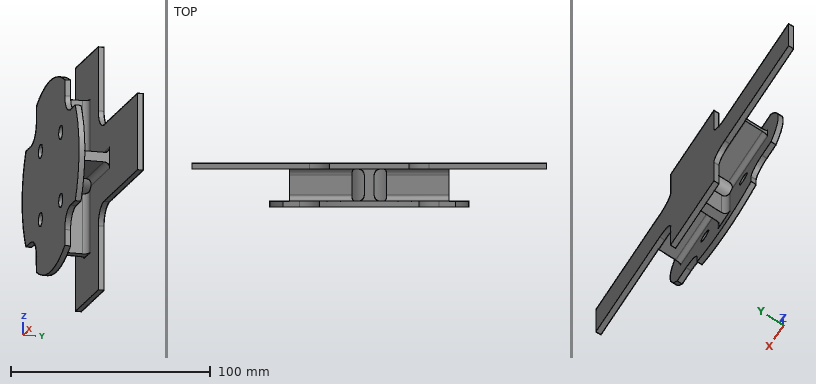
import cadquery as cq

length = 177.8
height = 127.0
depth = 22.0
plate_thickness = 3.0
arm_width = 40.0
disc_diameter = 100.0
disc_lobe_width = disc_diameter / 2
plate_corner_radius = 10.0
hole_diameter = 7.0
hole_spacing = 35.5
rib_length = 80.0
rib_thickness = 5.0
rib_root_radius = 3.0
boss_radius = 9.0

rib_depth = depth - 2 * plate_thickness
front_face = -depth / 2
rib_front = front_face + plate_thickness
rib_back = rib_front + rib_depth


def cross(size_x, size_z, width, thickness, corner_radius, y_start):
    """Upright cross with rounded inner corners, extending toward +Y from y_start."""
    middle_y = y_start + thickness / 2
    horizontal = cq.Workplane("XY").box(size_x, thickness, width)
    vertical = cq.Workplane("XY").box(width, thickness, size_z)
    corner = width / 2
    inner_corners = cq.selectors.BoxSelector(
        (-1.1 * corner, -thickness, -1.1 * corner),
        (1.1 * corner, thickness, 1.1 * corner),
    )
    body = horizontal.union(vertical)
    body = body.edges("|Y").edges(inner_corners).fillet(corner_radius)
    return body.translate((0, middle_y, 0))


def back_plate():
    return cross(length, height, arm_width, plate_thickness, plate_corner_radius, rib_back)


def front_plate():
    """Disc with four rounded notches and four holes."""
    lobes = cross(
        disc_diameter, disc_diameter, disc_lobe_width, plate_thickness, plate_corner_radius, front_face
    )
    base = cq.Workplane("XZ", origin=(0, front_face, 0))
    disc = base.circle(disc_diameter / 2).extrude(-plate_thickness)
    holes = (
        base.rect(hole_spacing, hole_spacing, forConstruction=True)
        .vertices()
        .circle(hole_diameter / 2)
        .extrude(-plate_thickness)
    )
    return disc.intersect(lobes).cut(holes)


def rib():
    """Rib along X, with concave roots flaring into both plates."""
    half_thickness = rib_thickness / 2
    half_root = half_thickness + rib_root_radius
    lower_tangent = rib_front + rib_root_radius
    upper_tangent = rib_back - rib_root_radius
    section = (
        cq.Workplane("YZ", origin=(-rib_length / 2, 0, 0))
        .moveTo(rib_front, -half_root)
        .lineTo(rib_front, half_root)
        .radiusArc((lower_tangent, half_thickness), -rib_root_radius)
        .lineTo(upper_tangent, half_thickness)
        .radiusArc((rib_back, half_root), -rib_root_radius)
        .lineTo(rib_back, -half_root)
        .radiusArc((upper_tangent, -half_thickness), -rib_root_radius)
        .lineTo(lower_tangent, -half_thickness)
        .radiusArc((rib_front, -half_root), -rib_root_radius)
        .close()
    )
    return section.extrude(rib_length)


def core():
    """Crossed ribs around a round central boss, joining the two plates."""
    rib_x = rib()
    rib_z = rib_x.rotate((0, 0, 0), (0, 1, 0), 90)
    boss = cq.Workplane("XZ", origin=(0, rib_front, 0)).circle(boss_radius).extrude(-rib_depth)
    return rib_x.union(rib_z).union(boss)


result = back_plate().union(front_plate()).union(core())